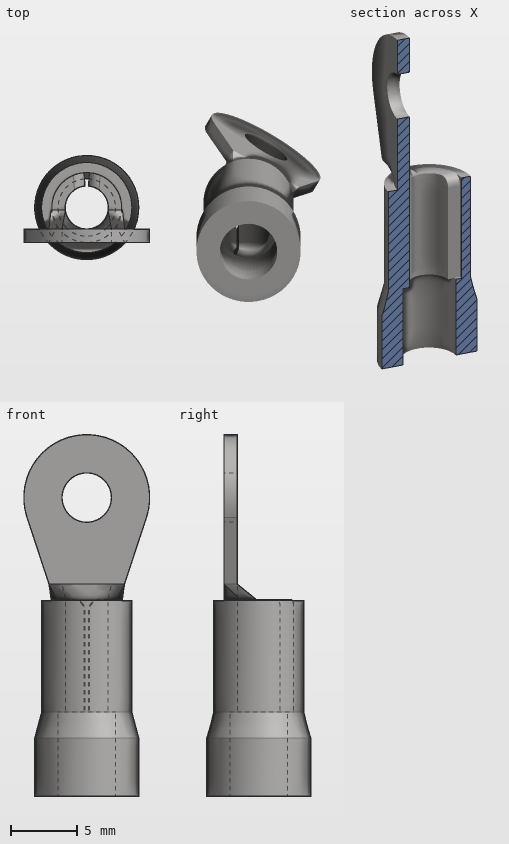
import cadquery as cq
import math

TOTAL_HEIGHT = 27.33

SKIRT_DIAMETER = 7.87
SLEEVE_DIAMETER = 6.81
SKIRT_HEIGHT = 4.4
CONE_TOP = 6.38
SLEEVE_TOP = 14.78
ENTRY_DIAMETER = 4.34

SHEET_THICKNESS = 1.02
BARREL_DIAMETER = 5.28
BARREL_PROTRUSION = 0.08

SEAM_HALF_ANGLE = 4.4
SEAM_CORNER_RADIUS = 0.82

RING_DIAMETER = 9.52
STUD_HOLE_DIAMETER = 3.71
TONGUE_BOTTOM = 16.05
TONGUE_BOTTOM_WIDTH = 5.72

NECK_BASE_WIDTH = 5.38
NECK_BASE_BACK = -0.17
NECK_SIDE_FRONT = -1.4
NECK_CAVITY_TOP_WIDTH = 4.0

BARREL_RADIUS = BARREL_DIAMETER / 2
BORE_RADIUS = BARREL_RADIUS - SHEET_THICKNESS
BARREL_BOTTOM = CONE_TOP
BARREL_TOP = SLEEVE_TOP + BARREL_PROTRUSION
NECK_HEIGHT = TONGUE_BOTTOM - BARREL_TOP
TONGUE_FRONT = -BARREL_RADIUS
TONGUE_BACK = TONGUE_FRONT + SHEET_THICKNESS
RING_RADIUS = RING_DIAMETER / 2
RING_CENTER = TOTAL_HEIGHT - RING_RADIUS


def make_sleeve():
    """Skirt, cone and upper sleeve; a narrower wire entry leaves a shoulder under the barrel."""
    skirt_radius = SKIRT_DIAMETER / 2
    sleeve_radius = SLEEVE_DIAMETER / 2
    entry_radius = ENTRY_DIAMETER / 2
    return (
        cq.Workplane("XZ")
        .moveTo(entry_radius, 0)
        .lineTo(skirt_radius, 0)
        .lineTo(skirt_radius, SKIRT_HEIGHT)
        .lineTo(sleeve_radius, CONE_TOP)
        .lineTo(sleeve_radius, SLEEVE_TOP)
        .lineTo(BARREL_RADIUS, SLEEVE_TOP)
        .lineTo(BARREL_RADIUS, BARREL_BOTTOM)
        .lineTo(entry_radius, BARREL_BOTTOM)
        .close()
        .revolve(360, (0, 0, 0), (0, 1, 0))
    )


def make_barrel():
    """Rolled tube with a wedge-shaped seam on its +Y side and rounded top corners at the seam."""
    barrel_length = BARREL_TOP - BARREL_BOTTOM
    seam_reach = 2 * BARREL_RADIUS
    seam_half_width = seam_reach * math.tan(math.radians(SEAM_HALF_ANGLE))
    base = cq.Workplane("XY", origin=(0, 0, BARREL_BOTTOM))
    tube = base.circle(BARREL_RADIUS).circle(BORE_RADIUS).extrude(barrel_length)
    seam = (
        base.moveTo(0, 0)
        .lineTo(seam_half_width, seam_reach)
        .lineTo(-seam_half_width, seam_reach)
        .close()
        .extrude(barrel_length)
    )
    return tube.cut(seam).faces(">Z").edges("%LINE").fillet(SEAM_CORNER_RADIUS)


def make_tongue():
    """Flat ring tongue: round head with tangent sides tapering down to the neck."""
    half_bottom = TONGUE_BOTTOM_WIDTH / 2
    drop = RING_CENTER - TONGUE_BOTTOM
    corner_angle = math.atan2(-drop, half_bottom)
    tangent_angle = corner_angle + math.acos(RING_RADIUS / math.hypot(half_bottom, drop))
    tangent_x = RING_RADIUS * math.cos(tangent_angle)
    tangent_z = RING_CENTER + RING_RADIUS * math.sin(tangent_angle)
    return (
        cq.Workplane("XZ", origin=(0, TONGUE_BACK, 0))
        .moveTo(-half_bottom, TONGUE_BOTTOM)
        .lineTo(half_bottom, TONGUE_BOTTOM)
        .lineTo(tangent_x, tangent_z)
        .threePointArc((0, TOTAL_HEIGHT), (-tangent_x, tangent_z))
        .close()
        .moveTo(0, RING_CENTER)
        .circle(STUD_HOLE_DIAMETER / 2)
        .extrude(SHEET_THICKNESS)
    )


def loft_from_trough(base_width, base_back, arc_x, arc_y, arc_bottom, top_width, top_back, top_front):
    """Ruled solid from a round-bottomed trough at the barrel top to a rectangle at the tongue."""
    half_base = base_width / 2
    half_top = top_width / 2
    return (
        cq.Workplane("XY", origin=(0, 0, BARREL_TOP))
        .moveTo(half_base, base_back)
        .lineTo(-half_base, base_back)
        .lineTo(-arc_x, arc_y)
        .threePointArc((0, arc_bottom), (arc_x, arc_y))
        .close()
        .workplane(offset=NECK_HEIGHT)
        .moveTo(half_top, top_back)
        .lineTo(-half_top, top_back)
        .lineTo(-half_top, top_front)
        .lineTo(half_top, top_front)
        .close()
        .loft(ruled=True)
    )


def make_neck():
    """Cupped transition: barrel wall opening out and flattening into the tongue."""
    arc_x = math.sqrt(BARREL_RADIUS**2 - NECK_SIDE_FRONT**2)
    body = loft_from_trough(
        NECK_BASE_WIDTH, NECK_BASE_BACK, arc_x, NECK_SIDE_FRONT, -BARREL_RADIUS,
        TONGUE_BOTTOM_WIDTH, TONGUE_BACK, TONGUE_FRONT,
    )
    cavity = loft_from_trough(
        2 * BORE_RADIUS, BARREL_RADIUS, BORE_RADIUS, 0, -BORE_RADIUS,
        NECK_CAVITY_TOP_WIDTH, BARREL_RADIUS, TONGUE_BACK,
    )
    return body.cut(cavity)


result = make_sleeve().union(make_barrel()).union(make_neck()).union(make_tongue())